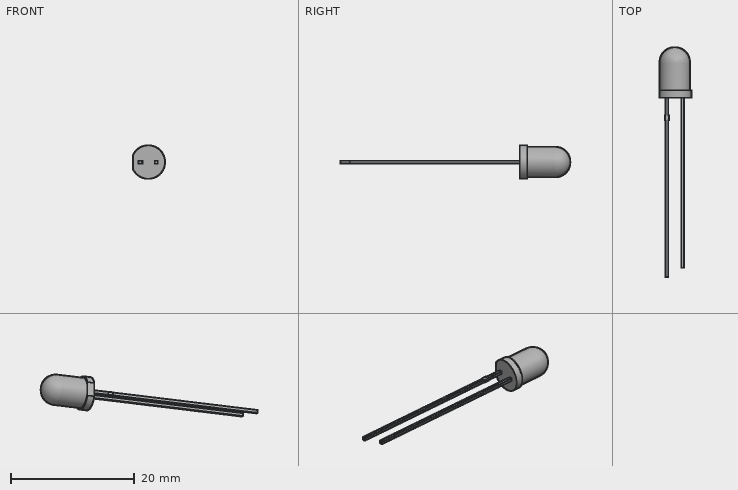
import cadquery as cq

total_length = 37.3

lens_radius = 2.5
lens_length = 8.25
flange_diameter = 5.5
flange_radius = flange_diameter / 2
flange_thickness = 1.23
flat_offset = lens_radius

lead_width = 0.5
lead_spacing = 2.55
long_lead_length = total_length - lens_length
short_lead_length = long_lead_length - 1.5

stop_width = 0.67
stop_length = 0.85
stop_distance = 2.8


def make_lens():
    """Domed lens with its rear face on Y = 0 and a flat on the -X side of the flange."""
    dome_start = lens_length - lens_radius
    dome = cq.Workplane("XY").sphere(lens_radius).translate((0, dome_start, 0))
    barrel = cq.Workplane("XZ").circle(lens_radius).extrude(-dome_start)
    flange = cq.Workplane("XZ").circle(flange_radius).extrude(-flange_thickness)
    flat_keep = cq.Workplane("XY").box(
        flat_offset + flange_radius,
        flange_thickness,
        flange_diameter,
        centered=(False, False, True),
    ).translate((-flat_offset, 0, 0))
    return barrel.union(dome).union(flange.intersect(flat_keep))


def make_bar(x, y_start, length, width):
    """Bar centred on X = x, running from y_start towards -Y, as thick in Z as a lead."""
    return (
        cq.Workplane("XZ", origin=(x, y_start, 0))
        .rect(width, lead_width)
        .extrude(length)
    )


def make_long_lead():
    """Long lead on the flat side, with its stop."""
    x = -lead_spacing / 2
    wire = make_bar(x, 0, long_lead_length, lead_width)
    stop = make_bar(x, -stop_distance, stop_length, stop_width)
    return wire.union(stop)


def make_short_lead():
    """Plain short lead, opposite the flat."""
    return make_bar(lead_spacing / 2, 0, short_lead_length, lead_width)


lens = make_lens()
long_lead = make_long_lead()
short_lead = make_short_lead()

result = cq.Compound.makeCompound([lens.val(), long_lead.val(), short_lead.val()])